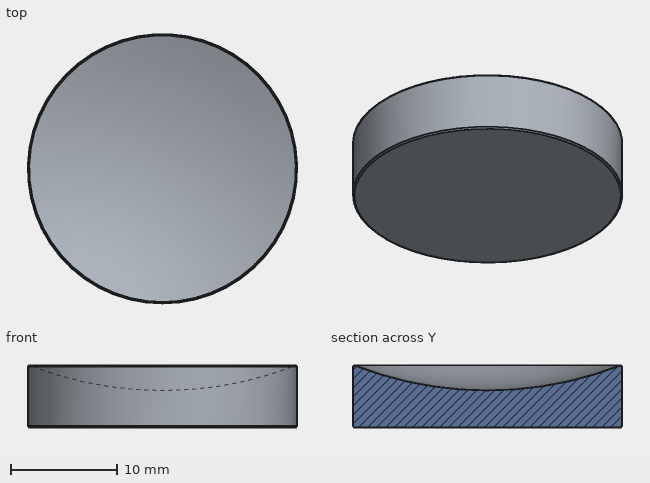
import cadquery as cq

diameter = 25.4
edge_thickness = 5.87
bevel = 0.15
hollow_depth = 2.35

radius = diameter / 2
rim_radius = radius - bevel
center_thickness = edge_thickness - hollow_depth
sphere_radius = (rim_radius**2 + hollow_depth**2) / (2 * hollow_depth)

arc_mid_radius = rim_radius / 2
arc_mid_rise = sphere_radius - (sphere_radius**2 - arc_mid_radius**2) ** 0.5

half_section = (
    cq.Workplane("YZ")
    .moveTo(0, 0)
    .lineTo(-rim_radius, 0)
    .lineTo(-radius, bevel)
    .lineTo(-radius, edge_thickness - bevel)
    .lineTo(-rim_radius, edge_thickness)
    .threePointArc((-arc_mid_radius, center_thickness + arc_mid_rise), (0, center_thickness))
    .close()
)

result = half_section.revolve(360, (0, 0), (0, 1))